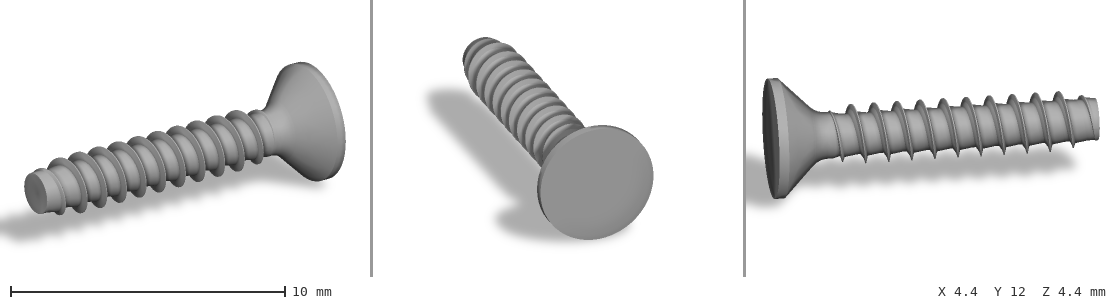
import math

import cadquery as cq


length = 12.0
head_radius = 2.2
rim_height = 0.36
shank_radius = 0.85
neck_fillet = 0.85
cone_angle = math.radians(45)
shank_end_depth = 2.25
taper_end_depth = 2.6

core_radius = 0.755
dish_radius = 0.72
dish_depth = 0.075

pitch = 0.85
helix_zero_depth = 2.0
crest_radius = 1.1
crest_half_width = 0.018
flank_half_angle = math.radians(15)
foot_half_angle = math.radians(33)
thin_height = 0.18
foot_reach = 0.42
ramp_radius = 0.825
ramp_end_radius = 0.74
ramp_end_offset = 0.65

lead_turn = 0.25
stations = [
    (0.0, 0.86, 0.76),
    (lead_turn, 0.91, ramp_radius),
    (1.2, crest_radius, ramp_radius),
    (10.2, crest_radius, ramp_radius),
    (11.5, 0.84, ramp_radius),
    (11.75, 0.745, 0.742),
]
points_per_turn = 24

trim_length = 2 * pitch


def make_body():
    """Revolve the head, neck, shank and core; the core overruns the tip by trim_length."""
    neck_drop = neck_fillet * (1 - math.cos(cone_angle))
    neck_start_radius = shank_radius + neck_drop
    neck_start_depth = rim_height + (head_radius - neck_start_radius) / math.tan(cone_angle)
    neck_end_depth = neck_start_depth + neck_fillet * math.sin(cone_angle)
    half_angle = cone_angle / 2
    neck_mid_radius = shank_radius + neck_fillet * (1 - math.cos(half_angle))
    neck_mid_depth = neck_end_depth - neck_fillet * math.sin(half_angle)
    return (
        cq.Workplane("XY")
        .lineTo(head_radius, 0)
        .lineTo(head_radius, -rim_height)
        .lineTo(neck_start_radius, -neck_start_depth)
        .threePointArc((neck_mid_radius, -neck_mid_depth), (shank_radius, -neck_end_depth))
        .lineTo(shank_radius, -shank_end_depth)
        .lineTo(core_radius, -taper_end_depth)
        .lineTo(core_radius, -length - trim_length)
        .lineTo(0, -length - trim_length)
        .close()
        .revolve(360, (0, 0, 0), (0, 1, 0))
    )


def thread_profile(crest, ramp):
    """Corners of the thread section as (depth offset from the crest, radius)."""
    flank_run = math.tan(flank_half_angle)
    kink_offset = crest_half_width + thin_height * flank_run
    foot_offset = kink_offset + (foot_reach - thin_height) * math.tan(foot_half_angle)
    root_offset = crest_half_width + (crest_radius - ramp_radius) * flank_run
    return [
        (-foot_offset, crest - foot_reach),
        (-kink_offset, crest - thin_height),
        (-crest_half_width, crest),
        (crest_half_width, crest),
        (root_offset, ramp),
        (ramp_end_offset, ramp_end_radius),
    ]


def thread_point(turn, offset, radius):
    """Point on the right-hand helix; the lead-in before lead_turn does not advance."""
    angle = 2 * math.pi * turn
    depth = helix_zero_depth + pitch * max(turn, lead_turn) + offset
    return cq.Vector(radius * math.cos(angle), -depth, radius * math.sin(angle))


def thread_segment(start, end):
    """Solid between two stations, its section changing evenly along the helix."""
    start_turn, start_crest, start_ramp = start
    end_turn, end_crest, end_ramp = end
    steps = math.ceil((end_turn - start_turn) * points_per_turn)
    rails = [[] for _ in thread_profile(start_crest, start_ramp)]
    for step in range(steps + 1):
        share = step / steps
        turn = start_turn + share * (end_turn - start_turn)
        crest = start_crest + share * (end_crest - start_crest)
        ramp = start_ramp + share * (end_ramp - start_ramp)
        for rail, corner in zip(rails, thread_profile(crest, ramp)):
            rail.append(thread_point(turn, *corner))
    edges = [cq.Edge.makeSpline(rail) for rail in rails]
    faces = [cq.Face.makeRuledSurface(edges[i - 1], edges[i]) for i in range(len(edges))]
    for index in (0, -1):
        corners = [rail[index] for rail in rails]
        faces.append(cq.Face.makeFromWires(cq.Wire.makePolygon(corners, close=True)))
    solid = cq.Solid.makeSolid(cq.Shell.makeShell(faces))
    return cq.Workplane(solid.fix())


def make_tip_trim():
    """Everything beyond the tip, with the cone that sinks the dish into it."""
    return (
        cq.Workplane("XY")
        .moveTo(0, dish_depth - length)
        .lineTo(dish_radius, -length)
        .lineTo(head_radius, -length)
        .lineTo(head_radius, -length - trim_length)
        .lineTo(0, -length - trim_length)
        .close()
        .revolve(360, (0, 0, 0), (0, 1, 0))
    )


result = make_body()
for start, end in zip(stations, stations[1:]):
    result = result.union(thread_segment(start, end))
result = result.cut(make_tip_trim())